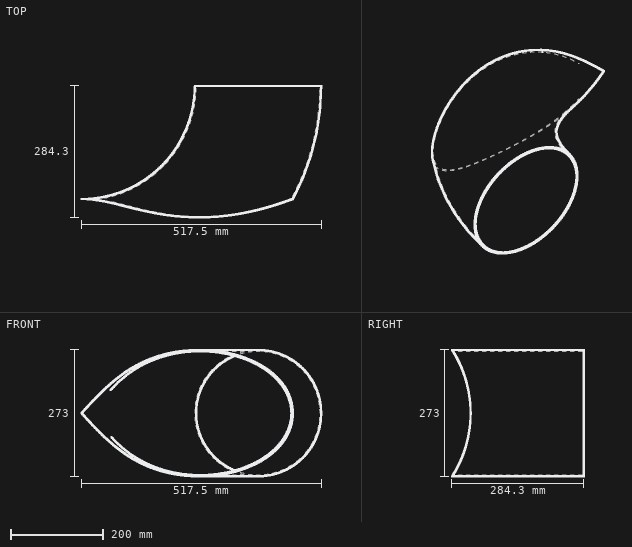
import cadquery as cq

pipe_diameter = 273.0
wall = 3.0
overall_length = 517.5
header_diameter = 508.0
bend_angle = 90.0

pipe_radius = pipe_diameter / 2
bore_radius = pipe_radius - wall
header_radius = header_diameter / 2
bend_radius = overall_length - pipe_radius

header_axis_y = -(bend_radius - pipe_radius + header_radius)


def make_elbow():
    """Quarter-turn tube, bent about Z from the +X axis towards -Y."""
    return (
        cq.Workplane("XZ")
        .center(bend_radius, 0)
        .circle(pipe_radius)
        .circle(bore_radius)
        .revolve(bend_angle, (-bend_radius, 0, 0), (-bend_radius, -1, 0))
    )


def make_header():
    """Solid header cylinder along X, longer than the elbow at both ends."""
    end_clearance = pipe_radius
    return (
        cq.Workplane("ZY", origin=(overall_length + end_clearance, header_axis_y, 0))
        .circle(header_radius)
        .extrude(overall_length + 2 * end_clearance)
    )


result = make_elbow().cut(make_header())